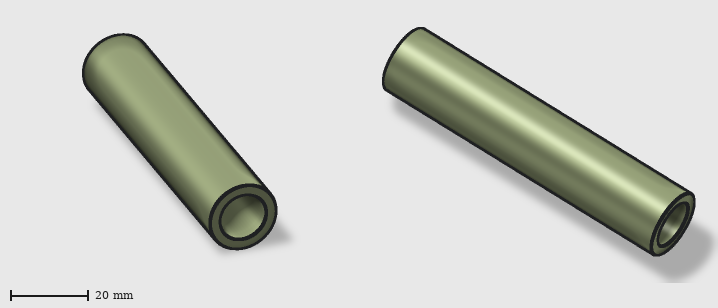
import cadquery as cq

length = 87.5
outer_diameter = 18.7
bore_diameter = 12.6
edge_chamfer = 0.3

tube = (
    cq.Workplane("YZ", origin=(-length / 2, 0, 0))
    .circle(outer_diameter / 2)
    .circle(bore_diameter / 2)
    .extrude(length)
)

result = tube.faces("<X or >X").edges().chamfer(edge_chamfer)